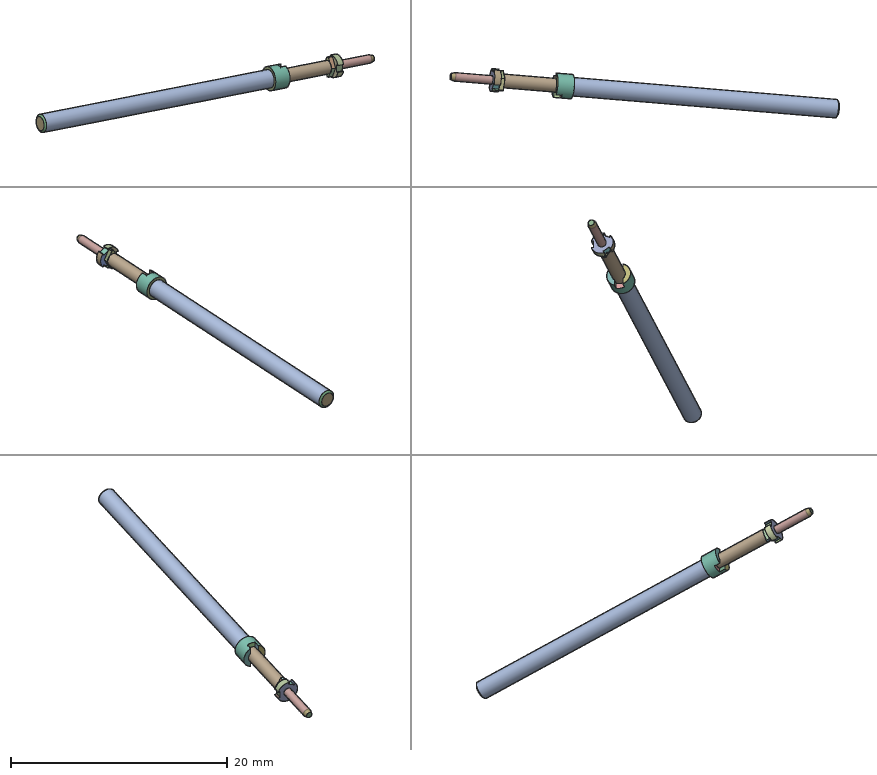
import cadquery as cq

length = 37.0
rear_end = length / 2

pin_diameter = 0.8
flange_diameter = 2.15
shaft_diameter = 1.3
collar_diameter = 2.3
body_diameter = 1.75
tip_face_diameter = 1.35

flange_start = 3.92
flange_end = 4.55
key_end = 5.0
collar_start = 9.95
collar_end = 11.55

pin_chamfer_radial = 0.1
pin_chamfer_length = 0.37
tip_chamfer_length = 0.15

notch_count = 3
notch_width = 0.65
notch_floor_distance = 0.8

slot_width = 0.8
slot_depth = 0.6

key_width = shaft_diameter
key_height = 1.92
key_tip_width = 0.22


def prism(section, start, end):
    """Extrude a section, placed `start` from the rear end, forward to `end`."""
    plane = cq.Plane(origin=(0, rear_end - start, 0), xDir=(1, 0, 0), normal=(0, -1, 0))
    return section(cq.Workplane(plane)).extrude(end - start)


def cylinder(diameter, start, end):
    return prism(lambda face: face.circle(diameter / 2), start, end)


def make_pin():
    pin = cylinder(pin_diameter, 0, flange_start)
    return pin.faces(">Y").chamfer(pin_chamfer_length, pin_chamfer_radial)


def make_flange():
    flange = cylinder(flange_diameter, flange_start, flange_end)
    notch = cq.Workplane("XY").box(flange_diameter, length, notch_width)
    notch = notch.translate((notch_floor_distance + flange_diameter / 2, 0, 0))
    for index in range(notch_count):
        angle = index * 360 / notch_count
        flange = flange.cut(notch.rotate((0, 0, 0), (0, 1, 0), angle))
    return flange


def make_key():
    side = key_width / 2
    top = key_height / 2
    tip = key_tip_width / 2
    corners = [(side, 0), (tip, top), (-tip, top), (-side, 0), (-tip, -top), (tip, -top)]
    return prism(lambda face: face.polyline(corners).close(), flange_end, key_end)


def make_collar():
    collar = cylinder(collar_diameter, collar_start, collar_end)
    slot_end = collar_start + slot_depth
    slot = prism(lambda face: face.rect(slot_width, collar_diameter), collar_start, slot_end)
    return collar.cut(slot)


def make_body():
    body = cylinder(body_diameter, collar_end, length)
    return body.faces("<Y").chamfer(tip_chamfer_length, (body_diameter - tip_face_diameter) / 2)


result = (
    make_pin()
    .union(make_flange())
    .union(make_key())
    .union(cylinder(shaft_diameter, key_end, collar_end))
    .union(make_collar())
    .union(make_body())
)